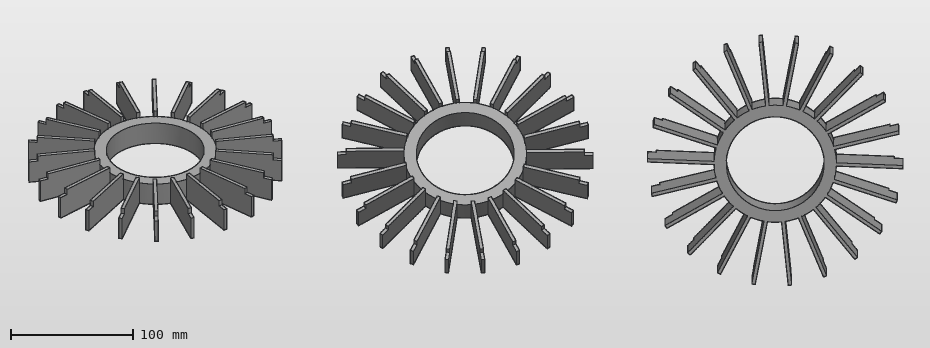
import cadquery as cq

ring_outer_diameter = 100.0
ring_bore_diameter = 80.0
ring_wall = (ring_outer_diameter - ring_bore_diameter) / 2

fin_count = 22
fin_thickness = 3.0
fin_tip_radius = 104.5
fin_height = 25.0

tip_step_length = 7.0
tip_step_drop = 5.0

ring_height = fin_height - tip_step_drop


def make_ring():
    """Plain ring standing on the base plane."""
    return (
        cq.Workplane("XY")
        .circle(ring_outer_diameter / 2)
        .circle(ring_bore_diameter / 2)
        .extrude(ring_height)
    )


def make_fin():
    """Fin along +Y with one face on the YZ plane, its root buried in the ring wall."""
    root_radius = ring_outer_diameter / 2 - ring_wall / 2
    step_radius = fin_tip_radius - tip_step_length
    return (
        cq.Workplane("YZ")
        .moveTo(root_radius, 0)
        .lineTo(fin_tip_radius, 0)
        .lineTo(fin_tip_radius, ring_height)
        .lineTo(step_radius, ring_height)
        .lineTo(step_radius, fin_height)
        .lineTo(root_radius, fin_height)
        .close()
        .extrude(fin_thickness)
    )


def make_root_trim():
    """Disc over the ring that trims the raised part of every fin root to the ring outline."""
    return (
        cq.Workplane("XY")
        .workplane(offset=ring_height)
        .circle(ring_outer_diameter / 2)
        .extrude(tip_step_drop)
    )


result = make_ring()
fin = make_fin()
for index in range(fin_count):
    angle = index * 360 / fin_count
    result = result.union(fin.rotate((0, 0, 0), (0, 0, 1), angle))
result = result.cut(make_root_trim())